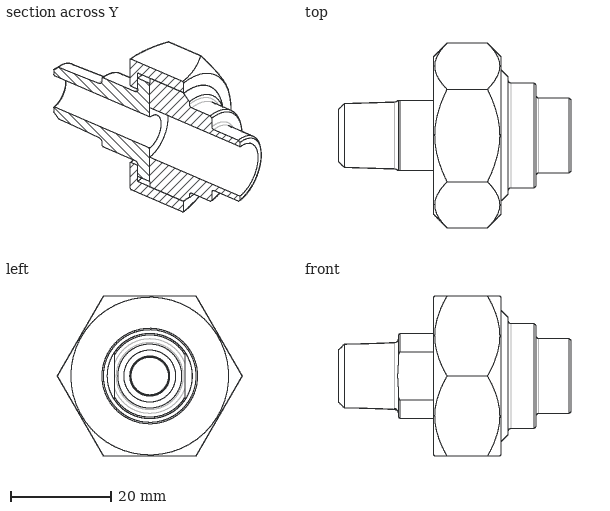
import cadquery as cq
import math


nut_start = 19.0
nut_width = 13.5
nut_end = nut_start + nut_width
across_flats = 32.0
across_corners = across_flats / math.cos(math.radians(30))
nut_face_diameter = 31.5
nut_hole_diameter = 18.5
nut_hole_chamfer = 0.3
nut_wall = 2.0
thread_diameter = 26.4

tail_bore_diameter = 7.5
tail_bore_chamfer = 0.25
taper_tip_diameter = 12.78
taper_end_diameter = 13.4
tip_chamfer = 1.2
shank_start = 12.0
shank_diameter = 17.0
shank_chamfer = 0.3
neck_fillet = 0.75
flange_start = nut_start + nut_wall
flange_diameter = 24.12
flange_thickness = 3.0
flange_fillet = (nut_hole_diameter - shank_diameter) / 2
flats_across = 14.0
flat_end = 19.0
flat_end_tilt = 15.0

body_start = flange_start + flange_thickness
body_bore_diameter = 12.0
shoulder_diameter = 23.5
shoulder_end = 33.9
shoulder_chamfer = (thread_diameter - shoulder_diameter) / 2
collar_diameter = 21.0
collar_end = 39.5
collar_fillet = 0.6
collar_chamfer = 0.4
spigot_diameter = 15.0
spigot_end = 46.5
spigot_fillet = 0.5
spigot_chamfer = 0.4


def revolve_about_x(profile):
    """Revolve a closed XY profile (X along the axis, Y as radius) a full turn about X."""
    return profile.close().revolve(360, (0, 0, 0), (1, 0, 0))


def concave_arc(profile, start, end, radius):
    """Add a concave quarter fillet from start to end; its centre is on the outer side."""
    centre_x = min(start, end, key=lambda point: point[1])[0]
    centre_r = max(start[1], end[1])
    diagonal = radius * math.sin(math.radians(45))
    root_x = max(start, end, key=lambda point: point[1])[0]
    middle_x = centre_x + math.copysign(diagonal, root_x - centre_x)
    middle = (middle_x, centre_r - diagonal)
    return profile.threePointArc(middle, end)


def make_nut():
    hexagon = (
        cq.Workplane("YZ")
        .workplane(offset=nut_start)
        .polygon(6, across_corners)
        .extrude(nut_width)
    )
    face_radius = nut_face_diameter / 2
    corner_radius = across_corners / 2
    corner_chamfer = corner_radius - face_radius
    envelope = revolve_about_x(
        cq.Workplane("XY")
        .moveTo(nut_start, 0)
        .lineTo(nut_start, face_radius)
        .lineTo(nut_start + corner_chamfer, corner_radius)
        .lineTo(nut_end - corner_chamfer, corner_radius)
        .lineTo(nut_end, face_radius)
        .lineTo(nut_end, 0)
    )
    hole_radius = nut_hole_diameter / 2
    opening = revolve_about_x(
        cq.Workplane("XY")
        .moveTo(nut_start, 0)
        .lineTo(nut_start, hole_radius + nut_hole_chamfer)
        .lineTo(nut_start + nut_hole_chamfer, hole_radius)
        .lineTo(flange_start, hole_radius)
        .lineTo(flange_start, thread_diameter / 2)
        .lineTo(nut_end, thread_diameter / 2)
        .lineTo(nut_end, 0)
    )
    return hexagon.intersect(envelope).cut(opening)


def make_flat_cutter():
    """Region removed by the +Y wrench flat, ending in a slightly tilted wall."""
    flat_y = flats_across / 2
    outer_y = shank_diameter
    cut_start = shank_start - neck_fillet
    lean = (outer_y - flat_y) * math.tan(math.radians(flat_end_tilt))
    return (
        cq.Workplane("XY")
        .moveTo(cut_start, flat_y)
        .lineTo(flat_end, flat_y)
        .lineTo(flat_end + lean, outer_y)
        .lineTo(cut_start, outer_y)
        .close()
        .extrude(shank_diameter / 2, both=True)
    )


def make_tailpiece():
    bore_radius = tail_bore_diameter / 2
    tip_radius = taper_tip_diameter / 2
    neck_radius = taper_end_diameter / 2
    shank_radius = shank_diameter / 2
    neck_start = (shank_start - neck_fillet, neck_radius)
    neck_end = (shank_start, neck_radius + neck_fillet)
    root_start = (flange_start - flange_fillet, shank_radius)
    root_end = (flange_start, shank_radius + flange_fillet)
    profile = (
        cq.Workplane("XY")
        .moveTo(tail_bore_chamfer, bore_radius)
        .lineTo(0, bore_radius + tail_bore_chamfer)
        .lineTo(0, tip_radius - tip_chamfer)
        .lineTo(tip_chamfer, tip_radius)
        .lineTo(*neck_start)
    )
    profile = (
        concave_arc(profile, neck_start, neck_end, neck_fillet)
        .lineTo(shank_start, shank_radius - shank_chamfer)
        .lineTo(shank_start + shank_chamfer, shank_radius)
        .lineTo(*root_start)
    )
    profile = (
        concave_arc(profile, root_start, root_end, flange_fillet)
        .lineTo(flange_start, flange_diameter / 2)
        .lineTo(body_start, flange_diameter / 2)
        .lineTo(body_start, bore_radius)
    )
    tailpiece = revolve_about_x(profile)
    flat_cutter = make_flat_cutter()
    return tailpiece.cut(flat_cutter).cut(flat_cutter.mirror("XZ"))


def make_body_end():
    bore_radius = body_bore_diameter / 2
    thread_radius = thread_diameter / 2
    collar_radius = collar_diameter / 2
    spigot_radius = spigot_diameter / 2
    collar_root_start = (shoulder_end, collar_radius + collar_fillet)
    collar_root_end = (shoulder_end + collar_fillet, collar_radius)
    spigot_root_start = (collar_end, spigot_radius + spigot_fillet)
    spigot_root_end = (collar_end + spigot_fillet, spigot_radius)
    profile = (
        cq.Workplane("XY")
        .moveTo(body_start, bore_radius)
        .lineTo(body_start, thread_radius)
        .lineTo(shoulder_end - shoulder_chamfer, thread_radius)
        .lineTo(shoulder_end, shoulder_diameter / 2)
        .lineTo(*collar_root_start)
    )
    profile = (
        concave_arc(profile, collar_root_start, collar_root_end, collar_fillet)
        .lineTo(collar_end - collar_chamfer, collar_radius)
        .lineTo(collar_end, collar_radius - collar_chamfer)
        .lineTo(*spigot_root_start)
    )
    profile = (
        concave_arc(profile, spigot_root_start, spigot_root_end, spigot_fillet)
        .lineTo(spigot_end - spigot_chamfer, spigot_radius)
        .lineTo(spigot_end, spigot_radius - spigot_chamfer)
        .lineTo(spigot_end, bore_radius)
    )
    return revolve_about_x(profile)


nut = make_nut()
tailpiece = make_tailpiece()
body_end = make_body_end()
result = cq.Compound.makeCompound([nut.val(), tailpiece.val(), body_end.val()])